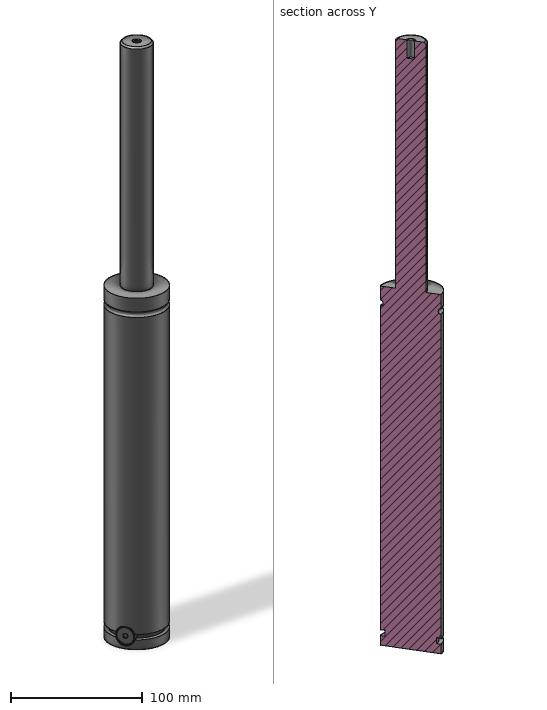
import cadquery as cq

total_height = 495
body_diameter = 50.0
body_height = 292
rod_diameter = 25.0
rod_chamfer = 1.5
rod_hole_diameter = 5.5
rod_countersink_diameter = 7.0
rod_countersink_angle = 90
rod_hole_depth = 15

groove_width = 4.5
lower_groove_depth = 3.5
lower_groove_height = 10.5
upper_groove_height = body_height - 14.0

port_diameter = 16.0
plug_diameter = 14.0
port_face_radius = 24.5
port_gap_depth = 0.5
port_root_radius = 17.5
plug_socket_diameter = 4.0
plug_socket_depth = 1.0

body_radius = body_diameter / 2


def port_cylinder(diameter, inner_radius, outer_radius):
    """Cylinder on the port axis between two distances from the body axis."""
    return (
        cq.Workplane("XZ", origin=(0, -inner_radius, lower_groove_height))
        .circle(diameter / 2)
        .extrude(outer_radius - inner_radius)
    )


def make_body():
    """Plain cylinder with a square lower groove and a round upper groove."""
    body = cq.Workplane("XY").circle(body_radius).extrude(body_height)
    lower_groove = (
        cq.Workplane("XY", origin=(0, 0, lower_groove_height - groove_width / 2))
        .circle(body_diameter)
        .circle(body_radius - lower_groove_depth)
        .extrude(groove_width)
    )
    upper_groove = (
        cq.Workplane("XZ")
        .center(body_radius, upper_groove_height)
        .circle(groove_width / 2)
        .revolve(360, (-body_radius, 0, 0), (-body_radius, 1, 0))
    )
    return body.cut(lower_groove).cut(upper_groove)


def make_rod():
    """Chamfered rod with a countersunk blind hole in its free end."""
    return (
        cq.Workplane("XY", origin=(0, 0, body_height))
        .circle(rod_diameter / 2)
        .extrude(total_height - body_height)
        .faces(">Z")
        .chamfer(rod_chamfer)
        .faces(">Z")
        .workplane()
        .cskHole(rod_hole_diameter, rod_countersink_diameter, rod_countersink_angle, rod_hole_depth)
    )


def add_port(body):
    """Flat round port with a ring-shaped gap around its socketed plug."""
    gap_root_radius = port_face_radius - port_gap_depth
    spotface = port_cylinder(port_diameter, port_face_radius, body_diameter)
    seat = port_cylinder(port_diameter, port_root_radius, gap_root_radius)
    gap = port_cylinder(port_diameter, gap_root_radius, port_face_radius)
    plug = port_cylinder(plug_diameter, port_root_radius, port_face_radius)
    socket = port_cylinder(plug_socket_diameter, port_face_radius - plug_socket_depth, port_face_radius)
    return body.cut(spotface).cut(gap).union(seat).union(plug).cut(socket)


result = add_port(make_body()).union(make_rod())